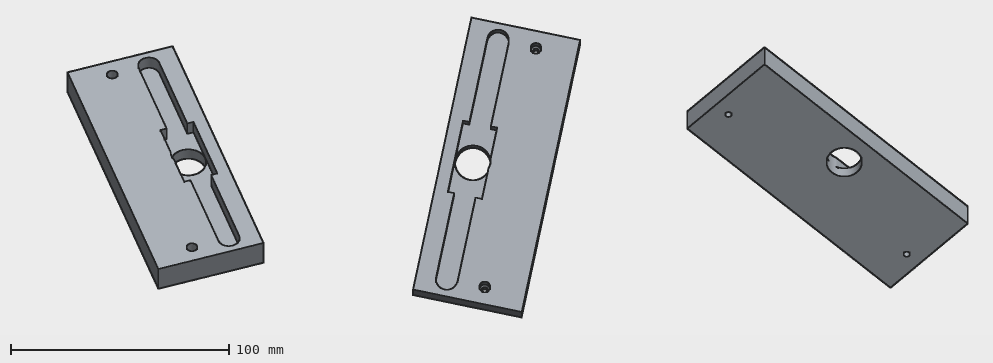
import cadquery as cq

plate_length = 130.0
plate_width = 51.0
plate_height = 13.4

pocket_y = 11.3
pocket_depth = 7.0
slot_length = 124.0
slot_width = 10.0
recess_length = 34.0
recess_width = 16.0

opening_diameter = 16.2
opening_y = 11.0

screw_spacing = 114.0
screw_y = -6.5
screw_diameter = 2.9
bore_diameter = 5.0
bore_depth = 7.0
cone_depth = (bore_diameter - screw_diameter) / 2


def make_plate():
    return cq.Workplane("XY").box(
        plate_length, plate_width, plate_height, centered=(True, True, False)
    )


def make_pocket():
    floor = cq.Workplane("XY", origin=(0, pocket_y, plate_height - pocket_depth))
    slot = floor.slot2D(slot_length, slot_width).extrude(pocket_depth)
    recess = floor.rect(recess_length, recess_width).extrude(pocket_depth)
    return slot.union(recess)


def make_opening():
    return cq.Workplane("XY").center(0, opening_y).circle(opening_diameter / 2).extrude(plate_height)


def make_screw_hole(x):
    bore_bottom = plate_height - bore_depth
    profile = [
        (0, 0),
        (screw_diameter / 2, 0),
        (screw_diameter / 2, bore_bottom - cone_depth),
        (bore_diameter / 2, bore_bottom),
        (bore_diameter / 2, plate_height),
        (0, plate_height),
    ]
    hole = cq.Workplane("XZ").polyline(profile).close().revolve(360, (0, 0), (0, 1))
    return hole.translate((x, screw_y, 0))


result = make_plate().cut(make_pocket()).cut(make_opening())
for side in (-1, 1):
    result = result.cut(make_screw_hole(side * screw_spacing / 2))